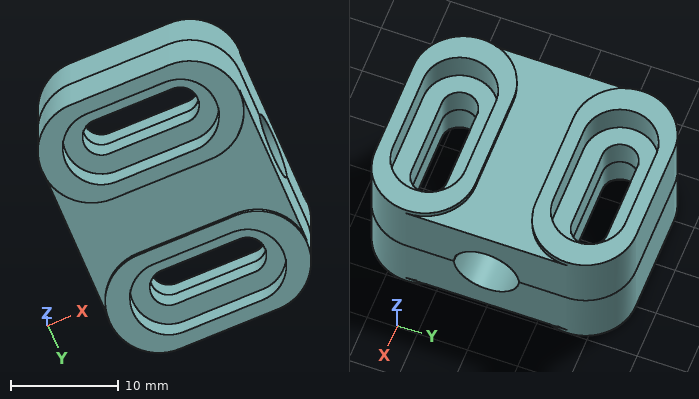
import cadquery as cq

length = 26.0
width = 20.0
height = 12.6
half_height = height / 2

pad_breadth = 10.0
pad_offset = (length - pad_breadth) / 2
pad_rise = 0.55

pocket_length = 15.2
pocket_breadth = 7.2
pocket_depth = 3.2
slot_length = 11.5
slot_breadth = 3.5

bore_diameter = 6.5
bore_offset = 0.18


def stadium(total_length, breadth, z_start, depth):
    """Two round-ended blocks, one on each pad centre, rising from z_start."""
    return (
        cq.Workplane("XY", origin=(0, 0, z_start))
        .pushPoints([(0, -pad_offset), (0, pad_offset)])
        .slot2D(total_length, breadth)
        .extrude(depth)
    )


def make_upper_half():
    """Half clamp with its parting face on Z = 0 and its pads facing +Z."""
    block = cq.Workplane("XY").box(
        width, 2 * pad_offset, half_height - pad_rise, centered=(True, True, False)
    )
    body = block.union(stadium(width, pad_breadth, 0, half_height))

    body = body.cut(stadium(slot_length, slot_breadth, 0, half_height))
    body = body.cut(stadium(pocket_length, pocket_breadth, half_height - pocket_depth, pocket_depth))

    bore = (
        cq.Workplane("YZ", origin=(-width / 2, 0, -bore_offset))
        .circle(bore_diameter / 2)
        .extrude(width)
    )
    return body.cut(bore)


upper_half = make_upper_half()
lower_half = make_upper_half().mirror("XY")

result = cq.Compound.makeCompound([upper_half.val(), lower_half.val()])